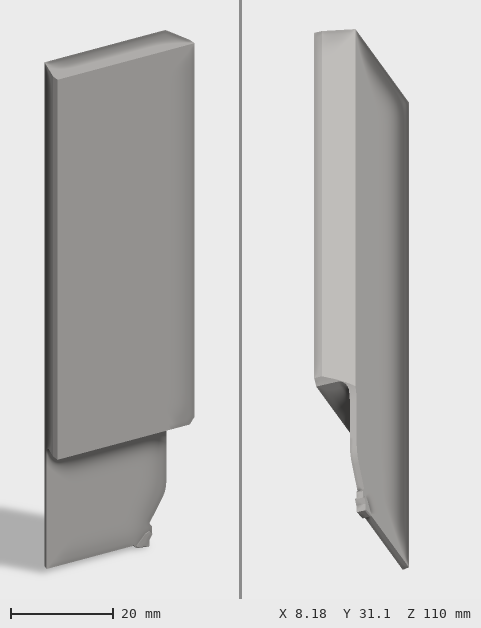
import cadquery as cq
import math

bar_thickness = 7.9
bar_width = 31.1
bar_half_width = bar_width / 2
face_half_width = 13.8
flank_depth = 6.3
top_z = 110.0

blade_thickness = 1.4
blade_bottom_z = 1.0
shoulder_z = 27.7
shoulder_radius = 2.0
blade_edge_y = 13.1
relief_top_z = 29.0
relief_radius = 8.8
nose_corner_z = 11.1
nose_radius = 6.6
seat_front = (9.2, 5.0)
seat_bottom_y = 5.5

tip_overhang = 0.28
tip_chamfer = 0.2
cutting_edge = (9.1, 0.0)
heel = (6.3, 0.3)
rake_foot = (9.1, 1.5)
rake_corner = (9.8, 2.6)
rake_top = (9.8, 4.2)
front_bend = (8.1, 8.5)
front_shoulder = (7.6, 9.0)
top_front = (6.5, 10.2)
back_top = (3.6, 10.2)
back_side = (2.8, 8.8)
back_round_mid = (2.9, 9.8)
back_foot = (5.3, 1.5)
tip_step = ((9.1, 3.3), (8.2, 3.0), (6.3, 0.9))


def make_bar():
    """Trapezoidal bar with narrow square lands along its wide face."""
    return (
        cq.Workplane("XY", origin=(0, 0, blade_bottom_z))
        .moveTo(0, -face_half_width)
        .lineTo(flank_depth, -bar_half_width)
        .lineTo(bar_thickness, -bar_half_width)
        .lineTo(bar_thickness, bar_half_width)
        .lineTo(flank_depth, bar_half_width)
        .lineTo(0, face_half_width)
        .close()
        .extrude(top_z - blade_bottom_z)
    )


def make_side_profile():
    """Full-thickness YZ outline with the relief and the sloping nose."""
    relief_depth = bar_half_width - blade_edge_y
    sweep = math.acos(1 - relief_depth / relief_radius)
    relief_bottom_z = relief_top_z - relief_radius * math.sin(sweep)
    relief_mid = (
        blade_edge_y + relief_radius * (1 - math.cos(sweep / 2)),
        relief_bottom_z + relief_radius * math.sin(sweep / 2),
    )
    profile = (
        cq.Workplane("YZ")
        .moveTo(-bar_half_width, top_z)
        .lineTo(bar_half_width, top_z)
        .lineTo(bar_half_width, relief_top_z)
        .threePointArc(relief_mid, (blade_edge_y, relief_bottom_z))
        .lineTo(blade_edge_y, nose_corner_z)
        .lineTo(*seat_front)
        .lineTo(seat_bottom_y, blade_bottom_z)
        .lineTo(-bar_half_width, blade_bottom_z)
        .close()
        .extrude(bar_thickness)
    )
    nose_edge = cq.selectors.NearestToPointSelector((bar_thickness / 2, blade_edge_y, nose_corner_z))
    return profile.edges(nose_edge).fillet(nose_radius)


def make_shoulder_cut():
    """Block removed behind the blade, rounded at the inner corner."""
    return (
        cq.Workplane("XY")
        .box(bar_thickness, 2 * bar_half_width, shoulder_z, centered=(False, True, False))
        .translate((blade_thickness, 0, 0))
        .edges("|Y and <X and >Z")
        .fillet(shoulder_radius)
    )


def make_insert():
    """Insert with a shank as thick as the blade and a wider chamfered tip."""
    shank = (
        cq.Workplane("YZ")
        .moveTo(*cutting_edge)
        .lineTo(*rake_foot)
        .lineTo(*rake_corner)
        .lineTo(*rake_top)
        .lineTo(*seat_front)
        .lineTo(*front_bend)
        .lineTo(*front_shoulder)
        .lineTo(*top_front)
        .lineTo(*back_top)
        .threePointArc(back_round_mid, back_side)
        .lineTo(*back_foot)
        .lineTo(*heel)
        .close()
        .extrude(blade_thickness)
    )
    tip = (
        cq.Workplane("YZ", origin=(-tip_overhang, 0, 0))
        .polyline([cutting_edge, rake_foot, rake_corner, *tip_step, heel])
        .close()
        .extrude(blade_thickness + 2 * tip_overhang)
    )
    bottom_y = (cutting_edge[0] + heel[0]) / 2
    bottom_z = (cutting_edge[1] + heel[1]) / 2
    for side_x in (-tip_overhang, blade_thickness + tip_overhang):
        bottom_edge = cq.selectors.NearestToPointSelector((side_x, bottom_y, bottom_z))
        tip = tip.edges(bottom_edge).chamfer(tip_chamfer)
    return shank.union(tip)


insert = make_insert()
holder = make_bar().intersect(make_side_profile()).cut(make_shoulder_cut()).cut(insert)

result = cq.Compound.makeCompound([holder.val(), insert.val()])